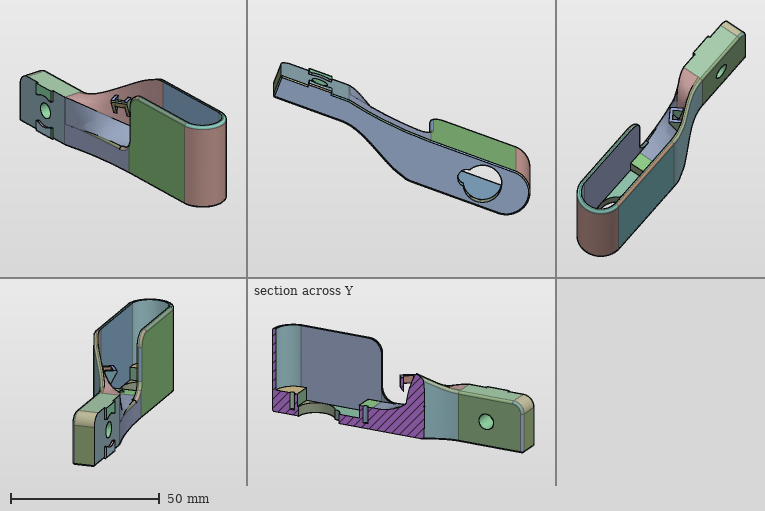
import cadquery as cq
import math

TAB_LENGTH = 24.5
TAB_HEIGHT = 18.0
TAB_FRONT = 0.8
TAB_BACK = 8.8
TAB_CORNER_RADIUS = 4.0
SCREW_X = 13.95
SCREW_Z = TAB_HEIGHT / 2
SCREW_DIAMETER = 5.5
PAD_WIDTH = 8.2
PAD_HEIGHT = 4.1
PAD_RELIEF_RADIUS = 5.8

TOTAL_LENGTH = 93.31
TOTAL_WIDTH = 20.36
TOTAL_HEIGHT = 30.0
CUP_START = 55.2
CUP_WIDTH = 16.0
CUP_END_DEPTH = 7.46
WALL = 1.5
CUP_FRONT = TOTAL_WIDTH - CUP_WIDTH
CUP_MIDDLE = TOTAL_WIDTH - CUP_WIDTH / 2
CUP_ROUND_START = TOTAL_LENGTH - CUP_END_DEPTH
LEDGE_HEIGHT = 8.0
RECESS_START = 60.3
RECESS_END = 83.7
RECESS_FLOOR = 3.5
OPENING_RADIUS = 5.0
OPENING_FOOT = CUP_START - OPENING_RADIUS

KEYHOLE_X = 76.76
KEYHOLE_DIAMETER = CUP_WIDTH - 2 * WALL
KEYHOLE_LOBE_X = 71.05
KEYHOLE_LOBE_DIAMETER = 6.0
PILOT_DIAMETER = 1.6
PILOT_DEPTH = 6.0
PILOT_XS = (57.9, 85.7)

LOOP_X = 43.28
LOOP_Y = 9.3
LOOP_ANGLE = 32.8
LOOP_WIDTH = 5.7
LOOP_ARM = 1.1
LOOP_TOP = 21.0
LOOP_LIP = 0.7
LOOP_REACH = 5.0
LOOP_UNDERSIDE_SLOPE = 1.8

RIM_FILLET = 0.9
BOTTOM_CHAMFER = 0.5

SWEEP_LENGTH = CUP_START - TAB_LENGTH
SWEEP_STEPS = 8
FRONT_EASE_POWER = 2
CREASE_LAG = 1.1
FOOT_FRACTION = (OPENING_FOOT - TAB_LENGTH) / SWEEP_LENGTH
LIP_START = 0.1
LIP_STEPS = 4
LIP_LEAST_RADIUS = 0.05

CLEARANCE = 10.0


def blend(start, end, t):
    """Value on an S-curve that leaves and arrives level."""
    return start + (end - start) * t * t * (3 - 2 * t)


def back_y(t):
    """Outer back face of the sweep."""
    return blend(TAB_BACK, TOTAL_WIDTH, t)


def top_z(t):
    """Top edge of the back wall along the sweep."""
    return blend(TAB_HEIGHT, TOTAL_HEIGHT, t)


def front_y(t):
    """Outer front face of the sweep: quick to turn at the tab, level at the cup."""
    return TAB_FRONT + (CUP_FRONT - TAB_FRONT) * (1 - (1 - t) ** FRONT_EASE_POWER)


def crease(t):
    """(y, z) of the inside corner where the sweep's ledge meets its back wall."""
    y = front_y(t) + blend(0, CUP_WIDTH - WALL, t**CREASE_LAG)
    return y, blend(TAB_HEIGHT, LEDGE_HEIGHT, t)


def sweep_curve(height_at):
    """Points of a curve along the swept section, from the tab to the cup."""
    fractions = [i / SWEEP_STEPS for i in range(SWEEP_STEPS + 1)]
    return [(TAB_LENGTH + SWEEP_LENGTH * t, height_at(t)) for t in fractions]


def level_spline(sketch, height_at):
    """Continue an outline along an S-curve that is level at both ends."""
    points = sweep_curve(height_at)
    return sketch.spline(points[1:], tangents=[(1, 0), (1, 0)], includeCurrent=True)


def box(x0, x1, y0, y1, z0, z1):
    return cq.Workplane("XY").box(x1 - x0, y1 - y0, z1 - z0, centered=False).translate((x0, y0, z0))


def outer_plan():
    sketch = cq.Workplane("XY").moveTo(0, TAB_FRONT).lineTo(0, TAB_BACK).lineTo(TAB_LENGTH, TAB_BACK)
    return (
        level_spline(sketch, back_y)
        .lineTo(CUP_ROUND_START, TOTAL_WIDTH)
        .threePointArc((TOTAL_LENGTH, CUP_MIDDLE), (CUP_ROUND_START, CUP_FRONT))
        .lineTo(CUP_START, CUP_FRONT)
        .spline(sweep_curve(front_y)[-2::-1], includeCurrent=True)
        .close()
        .extrude(TOTAL_HEIGHT)
    )


def side_profile():
    r = TAB_CORNER_RADIUS
    sketch = (
        cq.Workplane("XZ")
        .moveTo(0, 0)
        .lineTo(0, TAB_HEIGHT - r)
        .radiusArc((r, TAB_HEIGHT), r)
        .lineTo(TAB_LENGTH, TAB_HEIGHT)
    )
    return (
        level_spline(sketch, top_z)
        .lineTo(TOTAL_LENGTH, TOTAL_HEIGHT)
        .lineTo(TOTAL_LENGTH, 0)
        .close()
        .extrude(-TOTAL_WIDTH)
    )


def front_wall_band():
    """Plan band of the cup's front wall, from its foot in the sweep past its rounded corner."""
    corner_end = CUP_START + OPENING_RADIUS
    return (
        cq.Workplane("XY")
        .moveTo(OPENING_FOOT, -CLEARANCE)
        .lineTo(OPENING_FOOT, front_y(FOOT_FRACTION) + WALL)
        .lineTo(CUP_START, CUP_FRONT + WALL)
        .lineTo(corner_end, CUP_FRONT + WALL)
        .lineTo(corner_end, -CLEARANCE)
        .close()
        .extrude(TOTAL_HEIGHT + 2 * CLEARANCE)
    )


def front_opening():
    """Space in front of the sweep, bounded by the rounded edge of the cup's front wall."""
    r = OPENING_RADIUS
    return (
        cq.Workplane("XZ")
        .moveTo(OPENING_FOOT, LEDGE_HEIGHT)
        .radiusArc((CUP_START, LEDGE_HEIGHT + r), -r)
        .lineTo(CUP_START, TOTAL_HEIGHT - r)
        .radiusArc((CUP_START + r, TOTAL_HEIGHT), r)
        .lineTo(CUP_START + r, TOTAL_HEIGHT + CLEARANCE)
        .lineTo(OPENING_FOOT, TOTAL_HEIGHT + CLEARANCE)
        .close()
        .extrude(-CUP_MIDDLE)
        .intersect(front_wall_band())
    )


def sweep_cavity():
    """Hollow that opens from nothing at the tab to the full cup section."""
    cavity = cq.Workplane("YZ", origin=(TAB_LENGTH, 0, 0))
    for i in range(SWEEP_STEPS + 1):
        t = i / SWEEP_STEPS
        wall_y = back_y(t) - WALL
        section = [
            (-CLEARANCE, LEDGE_HEIGHT),
            (front_y(t), LEDGE_HEIGHT),
            crease(t),
            (wall_y, top_z(t)),
            (wall_y, TOTAL_HEIGHT + CLEARANCE),
            (-CLEARANCE, TOTAL_HEIGHT + CLEARANCE),
        ]
        cavity = cavity.polyline(section).close()
        if i < SWEEP_STEPS:
            cavity = cavity.workplane(offset=SWEEP_LENGTH / SWEEP_STEPS)
    return cavity.loft().cut(front_wall_band())


def sweep_lip():
    """Rounding of the ledge's front edge, growing from nothing to the rim radius at the wall foot."""
    start_x = TAB_LENGTH + LIP_START * SWEEP_LENGTH
    step = (FOOT_FRACTION - LIP_START) / LIP_STEPS
    lip = cq.Workplane("YZ", origin=(start_x, 0, 0))
    for i in range(LIP_STEPS + 1):
        t = LIP_START + i * step
        radius = max(LIP_LEAST_RADIUS, RIM_FILLET * i / LIP_STEPS)
        y = front_y(t)
        crease_y, crease_z = crease(t)
        slope = math.atan2(crease_z - LEDGE_HEIGHT, crease_y - y)
        inner = (y + radius * math.cos(slope), LEDGE_HEIGHT + radius * math.sin(slope))
        outer = (y, LEDGE_HEIGHT - radius)
        middle = ((inner[0] + outer[0] + 2 * y) / 4, (inner[1] + outer[1] + 2 * LEDGE_HEIGHT) / 4)
        lip = (
            lip.moveTo(*outer)
            .threePointArc(middle, inner)
            .lineTo(y - radius, inner[1] + radius)
            .lineTo(y - radius, outer[1])
            .close()
        )
        if i < LIP_STEPS:
            lip = lip.workplane(offset=step * SWEEP_LENGTH)
    return lip.loft()


def cup_cavity():
    cavity = (
        cq.Workplane("XY", origin=(0, 0, RECESS_FLOOR))
        .moveTo(CUP_START, CUP_FRONT + WALL)
        .lineTo(CUP_ROUND_START, CUP_FRONT + WALL)
        .threePointArc((TOTAL_LENGTH - WALL, CUP_MIDDLE), (CUP_ROUND_START, TOTAL_WIDTH - WALL))
        .lineTo(CUP_START, TOTAL_WIDTH - WALL)
        .close()
        .extrude(TOTAL_HEIGHT)
    )
    for x0, x1 in ((CUP_START, RECESS_START), (RECESS_END, TOTAL_LENGTH)):
        cavity = cavity.cut(box(x0, x1, 0, TOTAL_WIDTH, 0, LEDGE_HEIGHT))
    return cavity


def floor_holes():
    plane = cq.Workplane("XY")
    holes = plane.center(KEYHOLE_X, CUP_MIDDLE).circle(KEYHOLE_DIAMETER / 2).extrude(LEDGE_HEIGHT)
    lobe = plane.center(KEYHOLE_LOBE_X, CUP_MIDDLE).circle(KEYHOLE_LOBE_DIAMETER / 2).extrude(LEDGE_HEIGHT)
    pilots = (
        cq.Workplane("XY", origin=(0, 0, LEDGE_HEIGHT - PILOT_DEPTH))
        .pushPoints([(x, CUP_MIDDLE) for x in PILOT_XS])
        .circle(PILOT_DIAMETER / 2)
        .extrude(PILOT_DEPTH)
    )
    return holes.union(lobe).union(pilots)


def screw_cylinder(radius):
    return cq.Workplane("XZ", origin=(SCREW_X, 0, SCREW_Z)).circle(radius).extrude(-TAB_BACK)


def locating_pads():
    """Two raised pads on the tab front, relieved around the screw hole."""
    x0 = SCREW_X - PAD_WIDTH / 2
    x1 = x0 + PAD_WIDTH
    root = (TAB_FRONT + TAB_BACK) / 2
    lower = box(x0, x1, 0, root, 0, PAD_HEIGHT).faces("<Z").edges("<Y").chamfer(BOTTOM_CHAMFER)
    upper = box(x0, x1, 0, root, TAB_HEIGHT - PAD_HEIGHT, TAB_HEIGHT)
    return lower.union(upper).cut(screw_cylinder(PAD_RELIEF_RADIUS))


def cable_loop():
    """U-shaped loop standing off the back wall, with a sloping underside."""
    lip_z = LOOP_TOP - LOOP_LIP
    body = (
        cq.Workplane("YZ", origin=(-LOOP_WIDTH / 2, 0, 0))
        .moveTo(0, LOOP_TOP)
        .lineTo(0, lip_z)
        .lineTo(LOOP_REACH, lip_z - LOOP_REACH * LOOP_UNDERSIDE_SLOPE)
        .lineTo(LOOP_REACH, LOOP_TOP)
        .close()
        .extrude(LOOP_WIDTH)
    )
    half_slot = LOOP_WIDTH / 2 - LOOP_ARM
    slot = box(-half_slot, half_slot, LOOP_ARM, LOOP_REACH, 0, LOOP_TOP)
    placed = body.cut(slot).rotate((0, 0, 0), (0, 0, 1), LOOP_ANGLE)
    return placed.translate((LOOP_X, LOOP_Y, 0))


def outer_body():
    """Solid outline of the part with its back, rim and bottom edges broken."""
    body = outer_plan().intersect(side_profile()).cut(front_opening())
    straight_middle = (CUP_START + OPENING_RADIUS + CUP_ROUND_START) / 2
    run_points = [
        (TAB_LENGTH / 2, TAB_BACK, TAB_HEIGHT),
        (TOTAL_LENGTH, CUP_MIDDLE, TOTAL_HEIGHT),
        (straight_middle, CUP_FRONT, TOTAL_HEIGHT),
    ]
    runs = [body.edges(cq.NearestToPointSelector(point)).val() for point in run_points]
    body = body.newObject(runs).fillet(RIM_FILLET)
    return body.faces("<Z").edges().chamfer(BOTTOM_CHAMFER)


def make_part():
    part = outer_body().cut(sweep_cavity()).cut(sweep_lip()).cut(cup_cavity()).cut(floor_holes())
    part = part.union(locating_pads()).cut(screw_cylinder(SCREW_DIAMETER / 2))
    return part.union(cable_loop())


result = make_part()